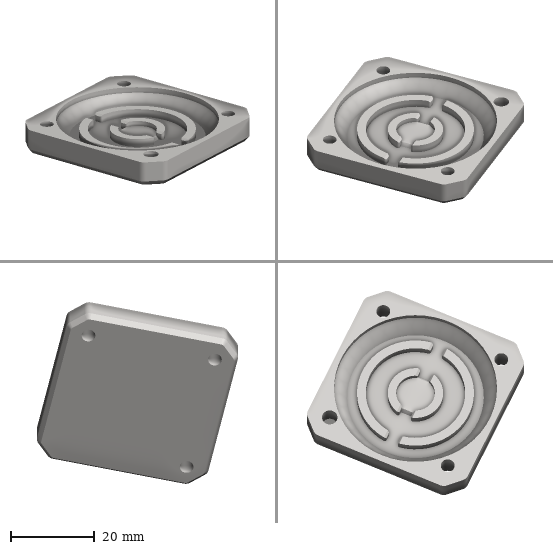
import cadquery as cq
import math

side = 42.0
height = 6.2
corner_cut = 4.1
corner_radius = 2.0
base_chamfer_width = 1.0
base_chamfer_height = 1.25

bowl_rim_diameter = 39.0
bowl_floor_diameter = 32.7
bowl_straight_depth = 1.4
bowl_depth = 4.5
floor_z = height - bowl_depth

hole_spacing = 31.0
through_hole_diameter = 3.3
blind_hole_diameter = 3.7
blind_hole_depth = bowl_depth

outer_ring_diameters = (28.0, 23.8)
inner_ring_diameters = (13.25, 9.25)
ring_height = 2.0
ring_gap = 3.0
ring_end_chamfer = 0.5
ring_end_radius = 0.5

pad_height = 0.75
pad_top_length = 8.9
pad_base_length = pad_top_length + 2 * pad_height


def make_plate():
    """Square plate with cut, rounded corners and a tapered bottom edge."""
    outline = (
        cq.Sketch().rect(side, side)
        .vertices().chamfer(corner_cut).reset()
        .vertices().fillet(corner_radius)
    )
    taper = math.degrees(math.atan2(base_chamfer_width, base_chamfer_height))
    straight = (
        cq.Workplane("XY", origin=(0, 0, base_chamfer_height))
        .placeSketch(outline).extrude(height - base_chamfer_height)
    )
    tapered = (
        cq.Workplane("XY", origin=(0, 0, base_chamfer_height))
        .placeSketch(outline).extrude(-base_chamfer_height, taper=taper)
    )
    return straight.union(tapered)


def make_bowl():
    """Solid of revolution removed for the bowl: cone below a short cylinder."""
    rim_radius = bowl_rim_diameter / 2
    return (
        cq.Workplane("XZ")
        .moveTo(0, floor_z)
        .lineTo(bowl_floor_diameter / 2, floor_z)
        .lineTo(rim_radius, height - bowl_straight_depth)
        .lineTo(rim_radius, height)
        .lineTo(0, height)
        .close()
        .revolve(360, (0, 0), (0, 1))
    )


def make_split_ring(outer_diameter, inner_diameter):
    """Two half rings with rounded end corners and chamfered top end edges."""
    ring = (
        cq.Workplane("XY", origin=(0, 0, floor_z))
        .circle(outer_diameter / 2).circle(inner_diameter / 2)
        .extrude(ring_height)
    )
    gap = cq.Workplane("XY").box(outer_diameter, ring_gap, 2 * height)
    halves = ring.cut(gap)
    halves = halves.faces("|Y").edges("|Z").fillet(ring_end_radius)

    top_z = floor_z + ring_height
    half_gap = ring_gap / 2
    end_chamfers = (
        cq.Workplane("YZ")
        .moveTo(-half_gap, top_z - ring_end_chamfer)
        .lineTo(half_gap, top_z - ring_end_chamfer)
        .lineTo(half_gap + ring_end_chamfer, top_z)
        .lineTo(-half_gap - ring_end_chamfer, top_z)
        .close()
        .extrude(outer_diameter / 2, both=True)
    )
    return halves.cut(end_chamfers)


def make_pad():
    """Low pad filling the inner ring, with a ramp at each gap."""
    radius = inner_ring_diameters[0] / 2
    pad_top_z = floor_z + pad_height
    ramped_bar = (
        cq.Workplane("XZ")
        .moveTo(-pad_base_length / 2, floor_z)
        .lineTo(pad_base_length / 2, floor_z)
        .lineTo(pad_top_length / 2, pad_top_z)
        .lineTo(-pad_top_length / 2, pad_top_z)
        .close()
        .extrude(radius, both=True)
    )
    disc = cq.Workplane("XY", origin=(0, 0, floor_z)).circle(radius).extrude(pad_height)
    return disc.intersect(ramped_bar)


def cut_screw_holes(body):
    """Three through holes, and a wider blind hole in the +X, -Y corner."""
    offset = hole_spacing / 2
    top = cq.Workplane("XY", origin=(0, 0, height))
    through_holes = (
        top.pushPoints([(-offset, -offset), (-offset, offset), (offset, offset)])
        .circle(through_hole_diameter / 2).extrude(-height)
    )
    blind_hole = (
        top.center(offset, -offset)
        .circle(blind_hole_diameter / 2).extrude(-blind_hole_depth)
    )
    return body.cut(through_holes).cut(blind_hole)


result = cut_screw_holes(make_plate().cut(make_bowl()))
for ring_diameters in (outer_ring_diameters, inner_ring_diameters):
    result = result.union(make_split_ring(*ring_diameters))
result = result.union(make_pad())